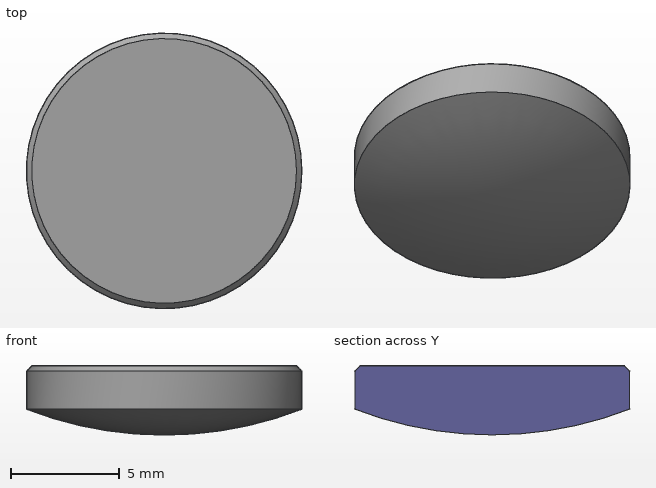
import cadquery as cq

diameter = 12.7
total_height = 3.2
dome_height = 1.2
chamfer = 0.25

radius = diameter / 2
rim_height = total_height - dome_height
dome_radius = (radius**2 + dome_height**2) / (2 * dome_height)

arc_x = radius / 2
dome_center_z = dome_radius - dome_height
arc_z = dome_center_z - (dome_radius**2 - arc_x**2) ** 0.5

half_section = (
    cq.Workplane("XZ")
    .moveTo(0, -dome_height)
    .threePointArc((arc_x, arc_z), (radius, 0))
    .lineTo(radius, rim_height - chamfer)
    .lineTo(radius - chamfer, rim_height)
    .lineTo(0, rim_height)
    .close()
)

result = half_section.revolve(360, (0, 0, 0), (0, 1, 0))